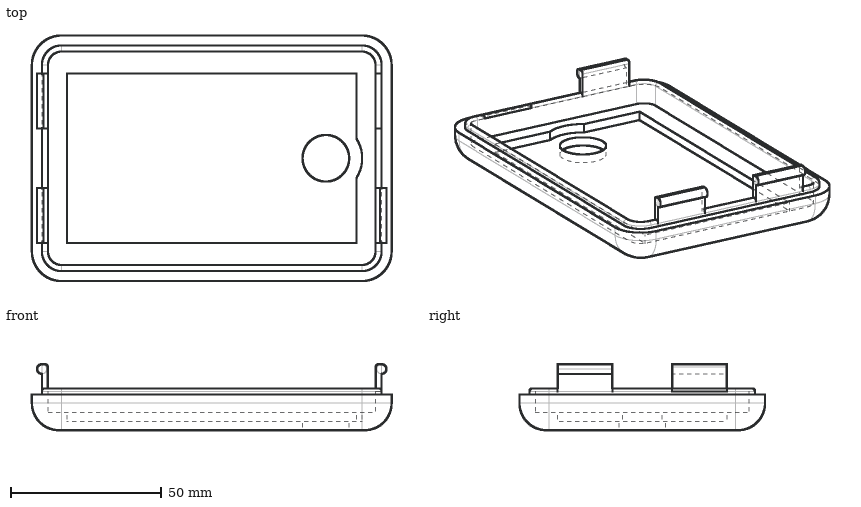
import cadquery as cq

LENGTH = 120.0
WIDTH = 82.0
CORNER_RADIUS = 10.0
RIM_HEIGHT = 12.0
BAND_HEIGHT = 2.9
TOTAL_HEIGHT = 22.1
BOTTOM_FILLET = RIM_HEIGHT - BAND_HEIGHT

LIP_INSET = 3.4
LIP_THICKNESS = 2.0
LIP_HEIGHT = 2.0
LIP_ROUND = LIP_THICKNESS / 2
LIP_TOP = RIM_HEIGHT + LIP_HEIGHT
LIP_SHOULDER = LIP_TOP - LIP_ROUND
LIP_FACE_X = LENGTH / 2 - LIP_INSET
LIP_MIDDLE_X = LIP_FACE_X - LIP_ROUND

CAVITY_INSET = LIP_INSET + LIP_THICKNESS
CAVITY_FLOOR = 6.0
RECESS_LENGTH = 96.4
RECESS_WIDTH = 56.4
RECESS_FLOOR = 3.0
HOLE_DIAMETER = 15.5
HOLE_X = 38.0
HOLE_CLEARANCE_RADIUS = 12.1

TAB_WIDTH = 18.2
TAB_CENTER_Y = 19.1
BEAD_DIAMETER = 3.2
TAB_PLACES = [(-1, -1), (-1, 1), (1, -1)]
PLUG_PLACE = (1, 1)


def rounded_block(inset, bottom, top):
    """Upright block with the tray outline moved inwards by inset."""
    return (
        cq.Workplane("XY", origin=(0, 0, bottom))
        .rect(LENGTH - 2 * inset, WIDTH - 2 * inset)
        .extrude(top - bottom)
        .edges("|Z")
        .fillet(CORNER_RADIUS - inset)
    )


def side_profile(place, x, z):
    """Workplane facing -Y, at the rear end of the tab place, centred on x (for that end) and z."""
    side_x, side_y = place
    rear_y = side_y * TAB_CENTER_Y + TAB_WIDTH / 2
    return cq.Workplane("XZ", origin=(side_x * x, rear_y, z))


def crest_bar(place, shoulder):
    """Half-round bar in line with the lip, as long as a tab is wide."""
    return (
        side_profile(place, LIP_MIDDLE_X, shoulder)
        .moveTo(-LIP_ROUND, 0)
        .threePointArc((0, LIP_ROUND), (LIP_ROUND, 0))
        .close()
        .extrude(TAB_WIDTH)
    )


def snap_tab(place):
    """Upright plate on the lip with a rounded top and a round bead along its outer face."""
    plate_top = TOTAL_HEIGHT - LIP_ROUND
    plate = (
        side_profile(place, LIP_MIDDLE_X, (LIP_SHOULDER + plate_top) / 2)
        .rect(LIP_THICKNESS, plate_top - LIP_SHOULDER)
        .extrude(TAB_WIDTH)
    )
    bead = (
        side_profile(place, LIP_FACE_X, TOTAL_HEIGHT - BEAD_DIAMETER / 2)
        .circle(BEAD_DIAMETER / 2)
        .extrude(TAB_WIDTH)
    )
    return plate.union(crest_bar(place, plate_top)).union(bead, clean=False)


def lip_crest():
    """Half-round ring that forms the top of the lip."""
    center_inset = LIP_INSET + LIP_ROUND
    path = rounded_block(center_inset, LIP_SHOULDER, LIP_TOP).faces("<Z").wires()
    profile = (
        cq.Workplane("YZ", origin=(0, center_inset - WIDTH / 2, LIP_SHOULDER))
        .moveTo(-LIP_ROUND, 0)
        .radiusArc((0, LIP_ROUND), LIP_ROUND)
        .radiusArc((LIP_ROUND, 0), LIP_ROUND)
        .close()
    )
    return profile.sweep(path)


def floor_recess():
    """Rectangular recess in the cavity floor, bulging around the round opening."""
    recess_depth = CAVITY_FLOOR - RECESS_FLOOR
    floor = cq.Workplane("XY", origin=(0, 0, RECESS_FLOOR))
    bulge = floor.center(HOLE_X, 0).circle(HOLE_CLEARANCE_RADIUS).extrude(recess_depth)
    return floor.rect(RECESS_LENGTH, RECESS_WIDTH).extrude(recess_depth).union(bulge)


def lip_plug():
    """Separate piece of the rounded lip crest that fills the place of the fourth tab."""
    return crest_bar(PLUG_PLACE, LIP_SHOULDER)


def tray():
    """Round-bottomed tray with lip, stepped cavity, round opening and three snap tabs."""
    shell = rounded_block(0, 0, RIM_HEIGHT).faces("<Z").edges().fillet(BOTTOM_FILLET)
    lip = rounded_block(LIP_INSET, CAVITY_FLOOR, LIP_SHOULDER)
    cavity = rounded_block(CAVITY_INSET, CAVITY_FLOOR, LIP_SHOULDER)
    opening = cq.Workplane("XY").center(HOLE_X, 0).circle(HOLE_DIAMETER / 2).extrude(RIM_HEIGHT)
    body = shell.union(lip).cut(cavity).cut(floor_recess()).cut(opening)
    body = body.union(lip_crest(), clean=False)
    for place in TAB_PLACES:
        body = body.union(snap_tab(place), clean=False)
    return body.cut(lip_plug(), clean=False)


tray_body = tray()
plug_body = lip_plug()
result = cq.Compound.makeCompound([tray_body.val(), plug_body.val()])